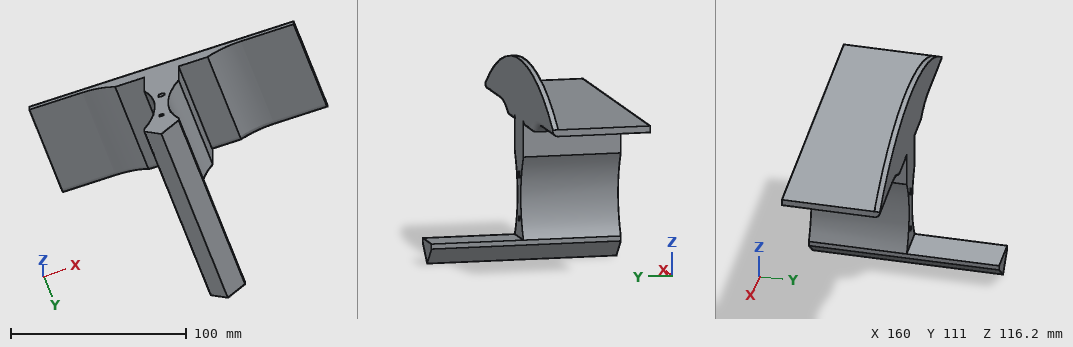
import cadquery as cq

width = 160.0
height = 116.2
length = 111.0
body_depth = 57.1
wall_thickness = 3.2
fin_height = 27.5
plate_thickness = 3.8
pad_depth = 6.2
pad_half_width = 28.0
flare_half_width = 48.0
column_half_width = 10.4
waist_half_width = 4.0
waist_top = 61.1
waist_bottom = 13.1
tip_height = 10.2
edge_radius = 3.2
upper_hole_diameter = 3.8
upper_hole_height = 49.3
lower_hole_diameter = 2.5
lower_hole_height = 23.8

half_width = width / 2
plate_top = height - fin_height
plate_bottom = plate_top - plate_thickness
pad_bottom = plate_bottom - pad_depth
waist_middle = (waist_top + waist_bottom) / 2

flare_run = flare_half_width - pad_half_width
flare_radius = (flare_run**2 + pad_depth**2) / (2 * pad_depth)
flare_middle_x = flare_half_width - flare_run / 2
flare_middle_z = plate_bottom - flare_radius + (flare_radius**2 - (flare_run / 2) ** 2) ** 0.5


def extrude_back(profile, depth):
    """Extrude an XZ profile from the front face toward +Y."""
    return profile.extrude(-depth)


def make_plate():
    """Flat plate with a flared pad beneath it and a rounded rear lower edge."""
    profile = (
        cq.Workplane("XZ")
        .moveTo(-half_width, plate_top)
        .lineTo(half_width, plate_top)
        .lineTo(half_width, plate_bottom)
        .lineTo(flare_half_width, plate_bottom)
        .threePointArc((flare_middle_x, flare_middle_z), (pad_half_width, pad_bottom))
        .lineTo(-pad_half_width, pad_bottom)
        .threePointArc((-flare_middle_x, flare_middle_z), (-flare_half_width, plate_bottom))
        .lineTo(-half_width, plate_bottom)
        .close()
    )
    plate = extrude_back(profile, body_depth)
    lower_edges = cq.selectors.BoxSelector(
        (-half_width, body_depth - edge_radius / 2, pad_bottom - 1.6),
        (half_width, body_depth + 1.6, plate_bottom + plate_thickness / 4),
    )
    return plate.edges(">Y").edges(lower_edges).fillet(edge_radius)


def make_fin():
    """Thin circular segment standing along the rear edge of the plate."""
    return (
        cq.Workplane("XZ", origin=(0, body_depth, 0))
        .moveTo(-half_width, plate_top)
        .threePointArc((0, height), (half_width, plate_top))
        .close()
        .extrude(wall_thickness)
    )


def make_column():
    """Waisted column with a pointed lower end."""
    profile = (
        cq.Workplane("XZ")
        .moveTo(-column_half_width, plate_top)
        .lineTo(column_half_width, plate_top)
        .lineTo(column_half_width, waist_top)
        .threePointArc((waist_half_width, waist_middle), (column_half_width, waist_bottom))
        .lineTo(column_half_width, tip_height)
        .lineTo(0, 0)
        .lineTo(-column_half_width, tip_height)
        .lineTo(-column_half_width, waist_bottom)
        .threePointArc((-waist_half_width, waist_middle), (-column_half_width, waist_top))
        .close()
    )
    return extrude_back(profile, body_depth)


def make_tail():
    """Pointed bar running the full length beneath the column."""
    profile = (
        cq.Workplane("XZ")
        .moveTo(0, 0)
        .lineTo(column_half_width, tip_height)
        .lineTo(column_half_width, waist_bottom)
        .lineTo(-column_half_width, waist_bottom)
        .lineTo(-column_half_width, tip_height)
        .close()
    )
    return extrude_back(profile, length)


def make_hole(diameter, level):
    """Cutter for a round hole along Y through the column."""
    return extrude_back(cq.Workplane("XZ").center(0, level).circle(diameter / 2), body_depth)


result = make_plate().union(make_fin()).union(make_column()).union(make_tail())
result = result.cut(make_hole(upper_hole_diameter, upper_hole_height))
result = result.cut(make_hole(lower_hole_diameter, lower_hole_height))